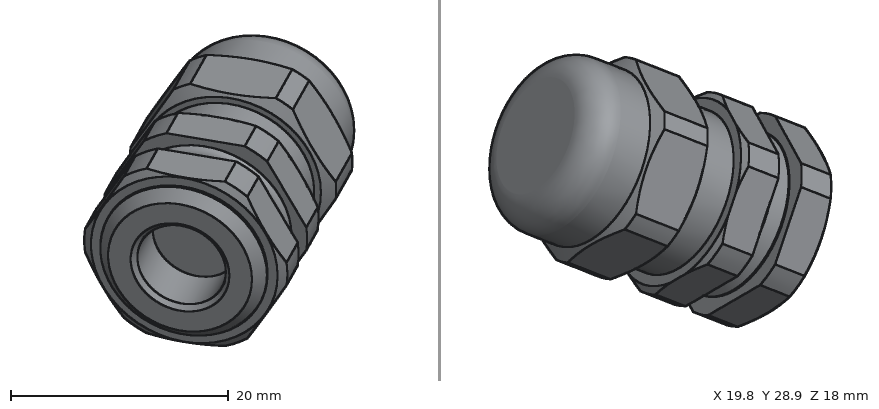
import cadquery as cq
import math

length = 28.9
across_flats = 18.0
hex_chamfer_angle = math.radians(30)

thread_radius = 8.0
neck_radius = 13.8 / 2
thread_chamfer = thread_radius - neck_radius
thread_end = 6.53
locknut_start = 1.33
locknut_end = 5.32
nut_corner_diameter = 19.5
locknut_face_radius = 8.95

seal_radius = 8.27
seal_start = 7.15

body_hex_start = 8.0
seal_round = body_hex_start - seal_start
body_hex_end = 11.96
body_hex_face_radius = 9.07
barrel_radius = 16.0 / 2

cap_hex_start = 15.9
cap_hex_end = 22.43
cap_corner_diameter = 19.8
cap_radius = 17.3 / 2
dome_round = 3.0

bore_radius = 8.5 / 2
bore_chamfer = 0.5
bore_depth = 5.32


def revolve_profile(profile):
    """Revolve a closed radius-station outline about the Y axis."""
    return profile.close().revolve(360, (0, 0, 0), (0, 1, 0))


def hex_nut(start, end, corner_diameter, start_face_radius=None, end_face_radius=None):
    """Hexagon with flats at +Z and -Z, rounded corners and optional conical end faces."""
    corner_radius = corner_diameter / 2
    start_radius = start_face_radius or corner_radius
    end_radius = end_face_radius or corner_radius
    start_drop = (corner_radius - start_radius) * math.tan(hex_chamfer_angle)
    end_drop = (corner_radius - end_radius) * math.tan(hex_chamfer_angle)
    envelope = cq.Workplane("XY").moveTo(0, start).lineTo(start_radius, start)
    if start_drop > 0:
        envelope = envelope.lineTo(corner_radius, start + start_drop)
    envelope = envelope.lineTo(corner_radius, end - end_drop)
    if end_drop > 0:
        envelope = envelope.lineTo(end_radius, end)
    envelope = revolve_profile(envelope.lineTo(0, end))
    hexagon = (
        cq.Workplane("XZ", origin=(0, start, 0))
        .polygon(6, across_flats, circumscribed=True)
        .extrude(start - end)
        .rotate((0, 0, 0), (0, 1, 0), 30)
    )
    return hexagon.intersect(envelope)


def round_core():
    """All turned surfaces, from the chamfered thread to the domed cap."""
    dome_mid = dome_round * math.sqrt(0.5)
    seal_mid = seal_round * math.sqrt(0.5)
    profile = (
        cq.Workplane("XY")
        .lineTo(thread_radius - thread_chamfer, 0)
        .lineTo(thread_radius, thread_chamfer)
        .lineTo(thread_radius, thread_end - thread_chamfer)
        .lineTo(neck_radius, thread_end)
        .lineTo(neck_radius, seal_start)
        .lineTo(seal_radius - seal_round, seal_start)
        .threePointArc(
            (seal_radius - seal_round + seal_mid, seal_start + seal_round - seal_mid),
            (seal_radius, body_hex_start),
        )
        .lineTo(barrel_radius, body_hex_start)
        .lineTo(barrel_radius, cap_hex_start)
        .lineTo(cap_radius, cap_hex_start)
        .lineTo(cap_radius, length - dome_round)
        .threePointArc(
            (cap_radius - dome_round + dome_mid, length - dome_round + dome_mid),
            (cap_radius - dome_round, length),
        )
        .lineTo(0, length)
    )
    return revolve_profile(profile)


def cable_bore():
    """Blind bore with a chamfered mouth at the threaded end."""
    profile = (
        cq.Workplane("XY")
        .lineTo(bore_radius + bore_chamfer, 0)
        .lineTo(bore_radius, bore_chamfer)
        .lineTo(bore_radius, bore_depth)
        .lineTo(0, bore_depth)
    )
    return revolve_profile(profile)


locknut = hex_nut(
    locknut_start, locknut_end, nut_corner_diameter, start_face_radius=locknut_face_radius
)
body_hex = hex_nut(
    body_hex_start, body_hex_end, nut_corner_diameter, end_face_radius=body_hex_face_radius
)
cap_hex = hex_nut(cap_hex_start, cap_hex_end, cap_corner_diameter, cap_radius, cap_radius)

result = round_core().union(locknut).union(body_hex).union(cap_hex).cut(cable_bore())